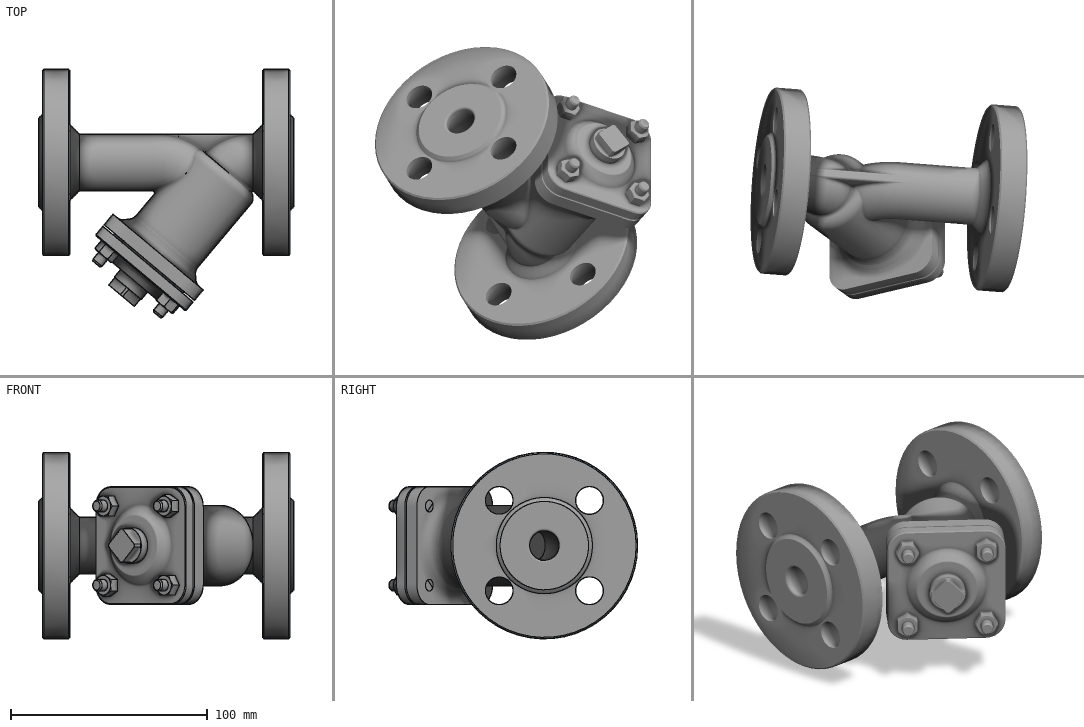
import cadquery as cq
import math

FACE_TO_FACE = 130.0
FLANGE_DIA = 95.0
FLANGE_THICKNESS = 14.0
FLANGE_EDGE = 0.8
RAISED_FACE_DIA = 45.0
RAISED_FACE_HEIGHT = 2.0
BOLT_CIRCLE_DIA = 65.0
BOLT_HOLE_DIA = 14.0
BOLT_HOLE_COUNT = 4
FIRST_BOLT_HOLE_ANGLE = 45.0
PIPE_DIA = 29.0
BORE_DIA = 15.0
BORE_MOUTH_RADIUS = 1.2
HUB_HEIGHT = 4.75

BRANCH_TILT = 40.0
BRANCH_X = 34.1
BRANCH_LENGTH = 66.5
BARREL_DIA = 41.0
BARREL_SETBACK = 5.5
BARREL_END_RADIUS = 5.0
BARREL_NECK_HEIGHT = 5.0
BARREL_NECK_RADIUS = 5.0
JUNCTION_RADIUS = 0.95
SKIN_TOLERANCE = 0.001

LEFT_BEND_X = -4.6
LEFT_BEND_RADIUS = 22.5
RIGHT_BEND_RADIUS = 20.0
WEB_THICKNESS = 5.0
WEB_RADIUS = 1.0

JOINT_WIDTH = 60.0
JOINT_CORNER_RADIUS = 10.0
JOINT_FLANGE_THICKNESS = 7.0
JOINT_GAP = 1.0
GASKET_DIA = BARREL_DIA
COVER_THICKNESS = 6.0
COVER_EDGE = 0.5
BOSS_DIA = BARREL_DIA
BOSS_HEIGHT = 5.0
BOSS_TAPER = 45.0
BOSS_EDGE_RADIUS = 1.0
COLLAR_DIA = 18.0
COLLAR_HEIGHT = 5.0
HEAD_WIDTH = 13.0
HEAD_CORNER_DIA = 17.0
HEAD_HEIGHT = 5.0
HEAD_TURN = 45.0
HEAD_ROOT_RADIUS = 0.6

STUD_DIA = 6.0
STUD_TIP_DIA = 4.92
STUD_TIP_LENGTH = 0.94
STUD_LENGTH_OUTSIDE = 10.85
STUD_CIRCLE_DIA = 57.0
STUD_COUNT = 4
NUT_SIDES = 6
NUT_WIDTH = 10.0
NUT_HEIGHT = 5.5
NUT_CHAMFER_ANGLE = 30.0
NUT_TURN = 15.0

TILT = math.radians(BRANCH_TILT)
OUTWARD = cq.Vector(-math.sin(TILT), -math.cos(TILT), 0)
ACROSS = cq.Vector(math.cos(TILT), -math.sin(TILT), 0)
CROSSING = cq.Vector(BRANCH_X, 0, 0)
JOINT_CENTRE = CROSSING + OUTWARD * BRANCH_LENGTH
OUTER_FACE = cq.selectors.DirectionMinMaxSelector(OUTWARD)

RIGHT_BEND_TURN = math.pi / 2 - TILT
RIGHT_BEND_TANGENT = RIGHT_BEND_RADIUS * math.tan(RIGHT_BEND_TURN / 2)

COVER_FRONT = JOINT_GAP + COVER_THICKNESS
BOSS_END = COVER_FRONT + BOSS_HEIGHT
COLLAR_END = BOSS_END + COLLAR_HEIGHT


def branch(offset):
    """Workplane across the branch, offset outward from the joint face."""
    origin = JOINT_CENTRE + OUTWARD * offset
    return cq.Workplane(cq.Plane(origin=origin, xDir=ACROSS, normal=OUTWARD))


def branch_profile():
    """Workplane holding the barrel axis: x is radius, y is offset outward."""
    plane = cq.Plane(origin=JOINT_CENTRE, xDir=ACROSS, normal=ACROSS.cross(OUTWARD))
    return cq.Workplane(plane)


def centred_at(offset):
    """Selector for what is centred on the barrel axis at an offset."""
    centre = JOINT_CENTRE + OUTWARD * offset
    return cq.selectors.NearestToPointSelector(centre.toTuple())


def end_flange():
    """Flange on the -X end with its hub, raised face and bolt holes."""
    face_x = -FACE_TO_FACE / 2
    front_x = face_x + RAISED_FACE_HEIGHT
    back_x = front_x + FLANGE_THICKNESS
    face_r = RAISED_FACE_DIA / 2
    flange_r = FLANGE_DIA / 2
    pipe_r = PIPE_DIA / 2
    flange = (
        cq.Workplane("XY")
        .moveTo(face_x, 0)
        .lineTo(face_x, face_r)
        .lineTo(front_x, face_r + RAISED_FACE_HEIGHT)
        .lineTo(front_x, flange_r - FLANGE_EDGE)
        .lineTo(front_x + FLANGE_EDGE, flange_r)
        .lineTo(back_x - FLANGE_EDGE, flange_r)
        .lineTo(back_x, flange_r - FLANGE_EDGE)
        .lineTo(back_x, pipe_r + HUB_HEIGHT)
        .lineTo(back_x + HUB_HEIGHT, pipe_r)
        .lineTo(back_x + HUB_HEIGHT, 0)
        .close()
        .revolve(360, (0, 0, 0), (1, 0, 0))
    )
    holes = (
        cq.Workplane("YZ", origin=(face_x, 0, 0))
        .polarArray(BOLT_CIRCLE_DIA / 2, FIRST_BOLT_HOLE_ANGLE, 360, BOLT_HOLE_COUNT)
        .circle(BOLT_HOLE_DIA / 2)
        .extrude(RAISED_FACE_HEIGHT + FLANGE_THICKNESS)
    )
    return flange.cut(holes)


def bore_mouth():
    """Flared plug that rounds off the mouth of the bore on the -X end."""
    face_x = -FACE_TO_FACE / 2
    bore_r = BORE_DIA / 2
    return (
        cq.Workplane("XY")
        .moveTo(face_x, 0)
        .lineTo(face_x, bore_r + BORE_MOUTH_RADIUS)
        .radiusArc((face_x + BORE_MOUTH_RADIUS, bore_r), -BORE_MOUTH_RADIUS)
        .lineTo(face_x + BORE_MOUTH_RADIUS, 0)
        .close()
        .revolve(360, (0, 0, 0), (1, 0, 0))
    )


def left_run(diameter):
    """Round bar along the left pipe, bent square into the barrel side."""
    r = LEFT_BEND_RADIUS
    bend_end = cq.Vector(LEFT_BEND_X + r * math.sin(TILT), r * math.cos(TILT) - r, 0)
    run_end = bend_end + ACROSS * (BARREL_DIA / 2)
    path = (
        cq.Workplane("XY")
        .moveTo(-FACE_TO_FACE / 2, 0)
        .lineTo(LEFT_BEND_X, 0)
        .radiusArc((bend_end.x, bend_end.y), r)
        .lineTo(run_end.x, run_end.y)
    )
    start = cq.Workplane("YZ", origin=(-FACE_TO_FACE / 2, 0, 0))
    return start.circle(diameter / 2).sweep(path)


def right_run(diameter):
    """Round bar along the right pipe, bent in line with the barrel end."""
    bend_end = CROSSING + OUTWARD * RIGHT_BEND_TANGENT
    run_end = bend_end + OUTWARD * BARREL_END_RADIUS
    path = (
        cq.Workplane("XY")
        .moveTo(FACE_TO_FACE / 2, 0)
        .lineTo(BRANCH_X + RIGHT_BEND_TANGENT, 0)
        .radiusArc((bend_end.x, bend_end.y), -RIGHT_BEND_RADIUS)
        .lineTo(run_end.x, run_end.y)
    )
    start = cq.Workplane("YZ", origin=(FACE_TO_FACE / 2, 0, 0))
    return start.circle(diameter / 2).sweep(path)


def web():
    """Plate filling the notch between the two bends."""
    right_x = BRANCH_X + RIGHT_BEND_TANGENT
    top = PIPE_DIA / 2
    root = CROSSING + OUTWARD * (BARREL_SETBACK + BARREL_END_RADIUS)
    return (
        cq.Workplane("XY")
        .moveTo(LEFT_BEND_X, 0)
        .lineTo(LEFT_BEND_X, top)
        .lineTo(right_x, top)
        .lineTo(right_x, 0)
        .lineTo(root.x, root.y)
        .close()
        .extrude(WEB_THICKNESS / 2, both=True)
        .edges("|X and >Y")
        .fillet(WEB_RADIUS)
    )


def joint_plate(start, thickness):
    """Square plate with rounded corners across the branch."""
    return (
        branch(start)
        .rect(JOINT_WIDTH, JOINT_WIDTH)
        .extrude(thickness)
        .edges(cq.selectors.ParallelDirSelector(OUTWARD))
        .fillet(JOINT_CORNER_RADIUS)
    )


def barrel():
    """Solid barrel with a rounded closed end, a flared neck and the joint flange."""
    r = BARREL_DIA / 2
    end = BARREL_SETBACK - BRANCH_LENGTH
    flange_back = -JOINT_FLANGE_THICKNESS
    neck_start = flange_back - BARREL_NECK_HEIGHT
    solid = (
        branch_profile()
        .moveTo(0, end)
        .lineTo(r, end)
        .lineTo(r, neck_start)
        .lineTo(r + BARREL_NECK_HEIGHT, flange_back)
        .lineTo(0, flange_back)
        .close()
        .revolve(360, (0, 0, 0), (0, 1, 0))
    )
    solid = solid.edges(centred_at(end)).fillet(BARREL_END_RADIUS)
    solid = solid.union(joint_plate(flange_back, JOINT_FLANGE_THICKNESS))
    solid = solid.edges(centred_at(flange_back)).fillet(BARREL_NECK_RADIUS)
    return solid.edges(centred_at(neck_start)).fillet(BARREL_NECK_RADIUS)


def plug_head():
    """Square head with rounded-off corners and a filleted root."""
    root = branch(BOSS_END).circle(COLLAR_DIA).extrude(COLLAR_HEIGHT)
    square = (
        branch(COLLAR_END)
        .transformed((0, 0, HEAD_TURN))
        .rect(HEAD_WIDTH, HEAD_WIDTH)
        .extrude(HEAD_HEIGHT)
    )
    head = root.union(square)
    root_face = head.faces(centred_at(COLLAR_END)).val()
    root_edges = root_face.innerWires()[0].Edges()
    head = head.newObject(root_edges).fillet(HEAD_ROOT_RADIUS)
    corners = branch(COLLAR_END).circle(HEAD_CORNER_DIA / 2).extrude(HEAD_HEIGHT)
    return head.intersect(corners)


def cover():
    """Cover plate with its conical boss and square-headed plug."""
    plate = joint_plate(JOINT_GAP, COVER_THICKNESS)
    plate = plate.faces(OUTER_FACE).edges().chamfer(COVER_EDGE)
    boss = branch(COVER_FRONT).circle(BOSS_DIA / 2).extrude(BOSS_HEIGHT, taper=BOSS_TAPER)
    collar = branch(BOSS_END).circle(COLLAR_DIA / 2).extrude(COLLAR_HEIGHT)
    lid = plate.union(boss)
    lid = lid.edges(centred_at(COVER_FRONT)).fillet(BOSS_EDGE_RADIUS)
    lid = lid.edges(centred_at(BOSS_END)).fillet(BOSS_EDGE_RADIUS)
    return lid.union(collar).union(plug_head())


def stud(bearing):
    """Stud with its nut, from the back of the joint flange outward."""
    seat_radius = STUD_CIRCLE_DIA / 2
    rod = (
        branch(-JOINT_FLANGE_THICKNESS)
        .center(seat_radius, 0)
        .circle(STUD_DIA / 2)
        .extrude(JOINT_FLANGE_THICKNESS + COVER_FRONT + STUD_LENGTH_OUTSIDE)
        .faces(OUTER_FACE)
        .chamfer(STUD_TIP_LENGTH, (STUD_DIA - STUD_TIP_DIA) / 2)
    )
    hexagon = (
        branch(COVER_FRONT)
        .center(seat_radius, 0)
        .transformed((0, 0, NUT_TURN))
        .polygon(NUT_SIDES, NUT_WIDTH, circumscribed=True)
        .extrude(NUT_HEIGHT)
    )
    corner_radius = NUT_WIDTH / 2 / math.cos(math.pi / NUT_SIDES)
    overhang = corner_radius - NUT_WIDTH / 2
    rounding = (
        branch(COVER_FRONT)
        .center(seat_radius, 0)
        .circle(corner_radius)
        .extrude(NUT_HEIGHT)
        .faces(OUTER_FACE)
        .chamfer(overhang * math.tan(math.radians(NUT_CHAMFER_ANGLE)), overhang)
    )
    fastener = rod.union(hexagon.intersect(rounding))
    axis_end = JOINT_CENTRE + OUTWARD
    return fastener.rotate(JOINT_CENTRE.toTuple(), axis_end.toTuple(), bearing)


def meeting_edges(solid, first, second):
    """Edges of a solid that run along the skins of both given solids."""
    skins = [first.val().Shells()[0], second.val().Shells()[0]]
    found = []
    for edge in solid.edges().vals():
        middle = cq.Vertex.makeVertex(*edge.positionAt(0.5).toTuple())
        if max(skin.distance(middle) for skin in skins) < SKIN_TOLERANCE:
            found.append(edge)
    return found


left_end = end_flange()
right_end = left_end.mirror("YZ")
pipework = left_end.union(right_end).union(left_run(PIPE_DIA)).union(right_run(PIPE_DIA)).union(web())
bend_edges = pipework.edges("%CIRCLE").vals()
web_edges = [edge for edge in bend_edges if math.isclose(abs(edge.Center().z), WEB_THICKNESS / 2)]
pipework = pipework.newObject(web_edges).fillet(WEB_RADIUS)

mouth = bore_mouth()
bored = pipework.cut(left_run(BORE_DIA)).cut(right_run(BORE_DIA)).cut(mouth).cut(mouth.mirror("YZ"))

strainer_barrel = barrel()
casting = bored.union(strainer_barrel)
barrel_edges = meeting_edges(casting, pipework, strainer_barrel)
casting = casting.newObject(barrel_edges).fillet(JUNCTION_RADIUS)
casting = casting.union(branch(0).circle(GASKET_DIA / 2).extrude(JOINT_GAP))
body = casting.union(cover())

studs = [stud(360 / STUD_COUNT * (number + 0.5)) for number in range(STUD_COUNT)]
for fastener in studs:
    body = body.cut(fastener)

result = cq.Compound.makeCompound([body.val()] + [fastener.val() for fastener in studs])